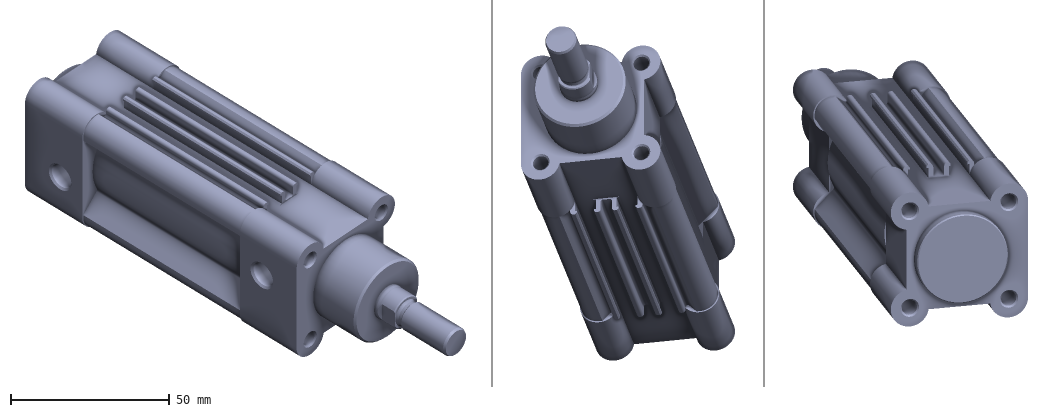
import cadquery as cq
import math


REAR_CAP_START = 4.0
BARREL_START = 29.0
BARREL_END = 98.0
FRONT_CAP_END = 122.8
FRONT_BOSS_END = 141.0
ROD_END = 171.0

TIE_OFFSET = 16.2
CAP_WIDTH = 45.0
CAP_HALF = CAP_WIDTH / 2
CAP_CORNER_RADIUS = CAP_HALF - TIE_OFFSET
CAP_WAIST = 17.3
BOSS_RADIUS = 14.9
REAR_BOSS_CHAMFER = 0.3
FRONT_BOSS_CHAMFER = 0.7

BOLT_HOLE_DIAMETER = 5.0
BOLT_HOLE_CHAMFER = 0.5
PORT_DIAMETER = 8.5
PORT_CHAMFER = 0.7
PORT_DEPTH = 10.3
PORT_OFFSET = 5.0
REAR_PORT_X = 19.3
FRONT_PORT_X = 107.5

BARREL_LENGTH = BARREL_END - BARREL_START
BARREL_CORNER_RADIUS = 5.8
BARREL_HALF = TIE_OFFSET + BARREL_CORNER_RADIUS
TUBE_RADIUS = 17.8
RECESS_MOUTH = 15.2
RECESS_DEPTH = 7.5
RECESS_FILLET = 0.9

INNER_FIN_GAP = 3.6
INNER_FIN_FACE = INNER_FIN_GAP / 2
OUTER_FIN_FACE = 11.6
FIN_THICKNESS = 1.5
FIN_LIP = 0.6
FIN_LIP_HEIGHT = 1.2
FIN_LIP_CHAMFER = 0.5
FIN_ROUND = 1.0
FIN_ROOT = 14.5
FIN_FILLET = 0.7
EDGE_TOLERANCE = 0.2

ROD_RADIUS = 6.0
COLLAR_RADIUS = 6.2
COLLAR_END = 142.0
COLLAR_TAPER_END = 142.8
SHOULDER_X = 149.1
SHOULDER_CHAMFER = 0.3
NECK_RADIUS = 4.5
NECK_START = 150.1
NECK_END = 151.3
NECK_TAPER = 0.3
THREAD_DIAMETER = 10.1
THREAD_RADIUS = THREAD_DIAMETER / 2
THREAD_START = 151.8
THREAD_CHAMFER = 0.9
THREAD_TIP_RADIUS = 4.6
FLAT_WIDTH = 10.1
FLAT_HALF = FLAT_WIDTH / 2
FLAT_START = 143.5
FLAT_CUT = 3.5

SIGNS = (-1, 1)


def at_x(x):
    """Workplane across the axis at x: local x is Y and local y is Z."""
    return cq.Workplane("YZ", origin=(x, 0, 0))


def cap_block(start, end):
    """Cap prism: four round corners, flat -Y side, and a narrower waist on the other three sides."""
    waist_rise = CAP_WAIST - TIE_OFFSET
    arc_end = TIE_OFFSET - math.sqrt(CAP_CORNER_RADIUS**2 - waist_rise**2)
    diagonal = TIE_OFFSET + CAP_CORNER_RADIUS / math.sqrt(2)
    return (
        at_x(start)
        .moveTo(-CAP_HALF, -TIE_OFFSET)
        .lineTo(-CAP_HALF, TIE_OFFSET)
        .threePointArc((-TIE_OFFSET, CAP_HALF), (-arc_end, CAP_WAIST))
        .lineTo(arc_end, CAP_WAIST)
        .threePointArc((diagonal, diagonal), (CAP_WAIST, arc_end))
        .lineTo(CAP_WAIST, -arc_end)
        .threePointArc((diagonal, -diagonal), (arc_end, -CAP_WAIST))
        .lineTo(-arc_end, -CAP_WAIST)
        .threePointArc((-TIE_OFFSET, -CAP_HALF), (-CAP_HALF, -TIE_OFFSET))
        .close()
        .extrude(end - start)
    )


def bolt_holes(outer_face, inner_face):
    """Four cutters through a cap, countersunk at its outer face."""
    inward = math.copysign(1, inner_face - outer_face)
    corners = [(y * TIE_OFFSET, z * TIE_OFFSET) for y in SIGNS for z in SIGNS]
    drills = (
        at_x(outer_face)
        .pushPoints(corners)
        .circle(BOLT_HOLE_DIAMETER / 2)
        .extrude(inner_face - outer_face)
    )
    sinks = (
        at_x(outer_face)
        .pushPoints(corners)
        .circle(BOLT_HOLE_DIAMETER / 2 + BOLT_HOLE_CHAMFER)
        .extrude(inward * BOLT_HOLE_CHAMFER, taper=45)
    )
    return drills.union(sinks)


def port(x, z):
    """Cutter for a blind, countersunk air port in the -Y face of a cap."""
    face = cq.Workplane("XZ", origin=(x, -CAP_HALF, z))
    drill = face.circle(PORT_DIAMETER / 2).extrude(-PORT_DEPTH)
    sink = face.circle(PORT_DIAMETER / 2 + PORT_CHAMFER).extrude(-PORT_CHAMFER, taper=45)
    return drill.union(sink)


def make_rear_cap():
    boss = at_x(0).circle(BOSS_RADIUS).extrude(REAR_CAP_START).faces("<X").chamfer(REAR_BOSS_CHAMFER)
    return (
        cap_block(REAR_CAP_START, BARREL_START)
        .union(boss)
        .cut(bolt_holes(REAR_CAP_START, BARREL_START))
        .cut(port(REAR_PORT_X, -PORT_OFFSET))
    )


def make_front_cap():
    boss = (
        at_x(FRONT_CAP_END)
        .circle(BOSS_RADIUS)
        .extrude(FRONT_BOSS_END - FRONT_CAP_END)
        .faces(">X")
        .chamfer(FRONT_BOSS_CHAMFER)
    )
    return (
        cap_block(BARREL_END, FRONT_CAP_END)
        .union(boss)
        .cut(bolt_holes(FRONT_CAP_END, BARREL_END))
        .cut(port(FRONT_PORT_X, PORT_OFFSET))
    )


def side_recess():
    """Cutter for the tapered recess in the top of the barrel, with 45 degree flanks."""
    floor_half = RECESS_MOUTH - RECESS_DEPTH
    floor_z = BARREL_HALF - RECESS_DEPTH
    return (
        at_x(BARREL_START)
        .polyline([
            (-RECESS_MOUTH, BARREL_HALF),
            (RECESS_MOUTH, BARREL_HALF),
            (floor_half, floor_z),
            (-floor_half, floor_z),
        ])
        .close()
        .extrude(BARREL_LENGTH)
    )


def fin(face, toward):
    """Top fin with its plain side at y = face and its lip overhanging the T-slot in direction toward."""
    neck = face + toward * FIN_THICKNESS
    lip = neck + toward * FIN_LIP
    lip_bottom = BARREL_HALF - FIN_LIP_HEIGHT
    round_gap = FIN_ROUND * (1 - math.sqrt(0.5))
    return (
        at_x(BARREL_START)
        .moveTo(face, FIN_ROOT)
        .lineTo(face, BARREL_HALF - FIN_ROUND)
        .threePointArc(
            (face + toward * round_gap, BARREL_HALF - round_gap),
            (face + toward * FIN_ROUND, BARREL_HALF),
        )
        .lineTo(lip - toward * FIN_LIP_CHAMFER, BARREL_HALF)
        .lineTo(lip, BARREL_HALF - FIN_LIP_CHAMFER)
        .lineTo(lip, lip_bottom)
        .lineTo(neck, lip_bottom)
        .lineTo(neck, FIN_ROOT)
        .close()
        .extrude(BARREL_LENGTH)
    )


def fillet_long_edges(body, places, radius):
    """Fillet the edges along X that pass through the given (|y|, |z|) places."""
    def is_wanted(edge):
        centre = edge.Center()
        return any(math.dist((abs(centre.y), abs(centre.z)), place) < EDGE_TOLERANCE for place in places)

    return body.newObject(body.edges("|X").filter(is_wanted).vals()).fillet(radius)


def make_barrel():
    barrel = (
        at_x(BARREL_START)
        .rect(2 * BARREL_HALF, 2 * BARREL_HALF)
        .extrude(BARREL_LENGTH)
        .edges("|X")
        .fillet(BARREL_CORNER_RADIUS)
    )
    for quarter in range(4):
        barrel = barrel.cut(side_recess().rotate((0, 0, 0), (1, 0, 0), 90 * quarter))
    barrel = barrel.union(at_x(BARREL_START).circle(TUBE_RADIUS).extrude(BARREL_LENGTH))

    flank_gap = BARREL_HALF - RECESS_MOUTH
    flank_z = (math.sqrt(2 * TUBE_RADIUS**2 - flank_gap**2) - flank_gap) / 2
    barrel = fillet_long_edges(barrel, [(flank_z + flank_gap, flank_z)], RECESS_FILLET)

    slot_half = OUTER_FIN_FACE - FIN_THICKNESS / 2
    floor = at_x(BARREL_START).rect(2 * slot_half, 2 * CAP_WAIST).extrude(BARREL_LENGTH)
    barrel = barrel.union(floor)
    for side in SIGNS:
        for top_fin in (fin(side * INNER_FIN_FACE, side), fin(side * OUTER_FIN_FACE, -side)):
            barrel = barrel.union(top_fin).union(top_fin.mirror("XY"))
    inner_foot = (INNER_FIN_FACE, math.sqrt(TUBE_RADIUS**2 - INNER_FIN_FACE**2))
    outer_foot = (OUTER_FIN_FACE, OUTER_FIN_FACE + flank_gap)
    return fillet_long_edges(barrel, [inner_foot, outer_foot], FIN_FILLET)


def rod_flat():
    """Cutter for the spanner flat on the -Y side, with a 45 degree run-out toward the collar."""
    outside = FLAT_HALF + FLAT_CUT
    return (
        cq.Workplane("XY")
        .polyline([
            (FLAT_START, -FLAT_HALF),
            (SHOULDER_X, -FLAT_HALF),
            (SHOULDER_X, -outside),
            (FLAT_START - FLAT_CUT, -outside),
        ])
        .close()
        .extrude(COLLAR_RADIUS, both=True)
    )


def make_rod():
    rod = (
        cq.Workplane("XY")
        .polyline([
            (FRONT_BOSS_END, 0),
            (FRONT_BOSS_END, COLLAR_RADIUS),
            (COLLAR_END, COLLAR_RADIUS),
            (COLLAR_TAPER_END, ROD_RADIUS),
            (SHOULDER_X - SHOULDER_CHAMFER, ROD_RADIUS),
            (SHOULDER_X, ROD_RADIUS - SHOULDER_CHAMFER),
            (SHOULDER_X, NECK_RADIUS + NECK_TAPER),
            (NECK_START, NECK_RADIUS),
            (NECK_END, NECK_RADIUS),
            (THREAD_START, THREAD_RADIUS),
            (ROD_END - THREAD_CHAMFER, THREAD_RADIUS),
            (ROD_END, THREAD_TIP_RADIUS),
            (ROD_END, 0),
        ])
        .close()
        .revolve(360, (0, 0, 0), (1, 0, 0))
    )
    return rod.cut(rod_flat()).cut(rod_flat().mirror("XZ"))


rear_cap = make_rear_cap()
barrel = make_barrel()
front_cap = make_front_cap()
rod = make_rod()

result = cq.Compound.makeCompound([rear_cap.val(), barrel.val(), front_cap.val(), rod.val()])